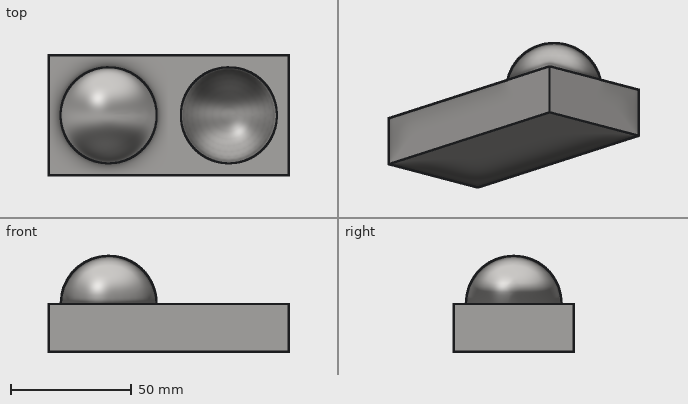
import cadquery as cq

length = 100.0
width = 50.0
thickness = 20.0

ball_radius = 20.0
center_offset = length / 4


def ball(x, radius):
    """Sphere centred on the top face of the block at the given X."""
    return cq.Workplane("XY").sphere(radius).translate((x, 0, thickness))


block = cq.Workplane("XY").box(length, width, thickness, centered=(True, True, False))
dome = ball(-center_offset, ball_radius)
socket = ball(center_offset, ball_radius)

result = block.union(dome).cut(socket)